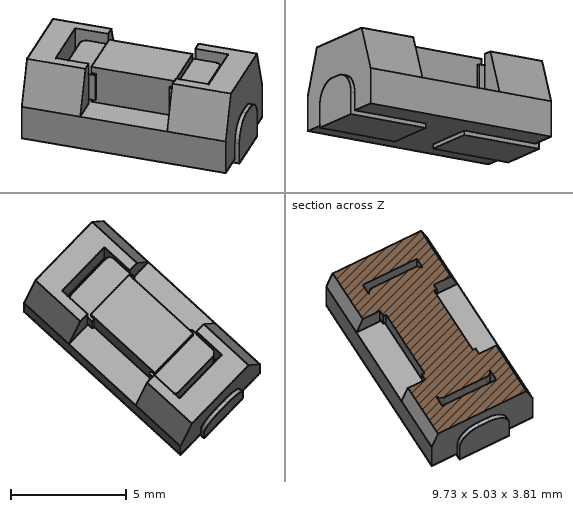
import cadquery as cq

OVERALL_LENGTH = 9.73
OVERALL_HEIGHT = 3.81
METAL_THICKNESS = 0.2

HOUSING_LENGTH = OVERALL_LENGTH - 2 * METAL_THICKNESS
HOUSING_WIDTH = 5.03
HOUSING_TOP_WIDTH = 3.58
HOUSING_BOTTOM = METAL_THICKNESS
FLOOR_HEIGHT = 1.8
HOLDER_GAP = 3.98
POCKET_LENGTH = 7.0
POCKET_WIDTH = 2.67

TERMINAL_WIDTH = 2.48
TERMINAL_HEIGHT = 2.01
TERMINAL_CORNER_RADIUS = 1.0
TERMINAL_GAP = 1.98

FUSE_LENGTH = 3.82
FUSE_WIDTH = 2.43
FUSE_BOTTOM = 1.84
FUSE_TOP = 3.6
CAP_OUTER_END = 3.19
CAP_INNER_END = 1.69
CAP_WIDTH = 2.7
CAP_BOTTOM = 2.02
CAP_TOP = 3.29
CAP_CORNER_RADIUS = 0.3


def box(x_range, width, z_range):
    """Box spanning the given X and Z ranges, centred on Y = 0."""
    x_min, x_max = x_range
    z_min, z_max = z_range
    block = cq.Workplane("XY").box(x_max - x_min, width, z_max - z_min, centered=(False, True, False))
    return block.translate((x_min, 0, z_min))


def centred_box(length, width, z_range):
    """Box centred on both X and Y."""
    return box((-length / 2, length / 2), width, z_range)


def make_housing():
    """Bar with sloped upper sides, cut down to the floor between the holders."""
    half_width = HOUSING_WIDTH / 2
    half_top = HOUSING_TOP_WIDTH / 2
    section = [
        (-half_width, HOUSING_BOTTOM),
        (half_width, HOUSING_BOTTOM),
        (half_width, FLOOR_HEIGHT),
        (half_top, OVERALL_HEIGHT),
        (-half_top, OVERALL_HEIGHT),
        (-half_width, FLOOR_HEIGHT),
    ]
    bar = cq.Workplane("YZ").polyline(section).close().extrude(HOUSING_LENGTH / 2, both=True)
    above_floor = (FLOOR_HEIGHT, OVERALL_HEIGHT)
    middle_gap = centred_box(HOLDER_GAP, HOUSING_WIDTH, above_floor)
    pocket = centred_box(POCKET_LENGTH, POCKET_WIDTH, above_floor)
    return bar.cut(middle_gap).cut(pocket)


def make_terminal():
    """Terminal at the +X end: foot under the housing and round-cornered upright."""
    foot = box((TERMINAL_GAP / 2, OVERALL_LENGTH / 2), TERMINAL_WIDTH, (0, METAL_THICKNESS))
    upright = box((HOUSING_LENGTH / 2, OVERALL_LENGTH / 2), TERMINAL_WIDTH, (0, TERMINAL_HEIGHT))
    upright = upright.edges("|X and >Z").fillet(TERMINAL_CORNER_RADIUS)
    return foot.union(upright)


def make_cap():
    """Fuse end cap at the +X end, with its outer vertical edges rounded."""
    cap = box((CAP_INNER_END, CAP_OUTER_END), CAP_WIDTH, (CAP_BOTTOM, CAP_TOP))
    return cap.edges("|Z and >X").fillet(CAP_CORNER_RADIUS)


fuse_body = centred_box(FUSE_LENGTH, FUSE_WIDTH, (FUSE_BOTTOM, FUSE_TOP))
result = make_housing().union(fuse_body)
for end_part in (make_terminal(), make_cap()):
    result = result.union(end_part).union(end_part.mirror("YZ"))